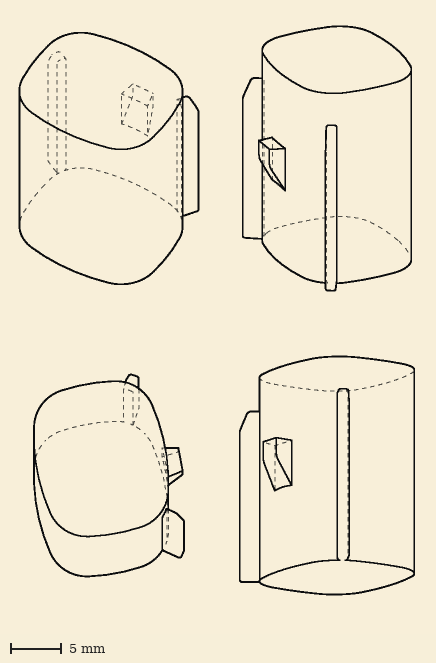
import cadquery as cq
import math

body_height = 20.5
half_depth = 6.406
front_bow_radius = 19.68
front_bow_half_angle = 13.0
corner_radius = 3.94
side_bow_half_angle = 8.0

rib_reach = 5.88
rib_thickness = 1.02
rib_top = 17.05
rib_shoulder = 15.07
rib_slope_run = 0.82
rib_edge_radius = 0.25
rib_shoulder_radius = 1.02
rib_top_radius = 0.57
left_rib_angle = 151.0
right_rib_angle = 55.0

catch_tip_y = 7.944
catch_tip_width = 2.34
catch_base_width = 3.0
catch_base_y = 6.35
catch_tip_top = 12.9
catch_base_top = 12.77
catch_base_bottom = 8.25
catch_tip_bottom = 11.0
catch_nose_radius = 1.65
catch_root_y = 5.12


def polar(center, radius, angle):
    """Point at a distance and an angle in degrees from a center."""
    turn = math.radians(angle)
    return (center[0] + radius * math.cos(turn), center[1] + radius * math.sin(turn))


front_bow_center = (0, half_depth - front_bow_radius)
corner_center = polar(front_bow_center, front_bow_radius - corner_radius, 90 - front_bow_half_angle)
side_bow_inset = corner_center[1] / math.tan(math.radians(side_bow_half_angle))
side_bow_radius = corner_radius + corner_center[1] / math.sin(math.radians(side_bow_half_angle))
half_width = corner_center[0] - side_bow_inset + side_bow_radius


def make_body():
    """Prism with four bowed sides joined by tangent corner arcs."""
    corner_mid_angle = (90 - front_bow_half_angle + side_bow_half_angle) / 2
    front_x, front_y = polar(corner_center, corner_radius, 90 - front_bow_half_angle)
    mid_x, mid_y = polar(corner_center, corner_radius, corner_mid_angle)
    side_x, side_y = polar(corner_center, corner_radius, side_bow_half_angle)
    return (
        cq.Workplane("XY")
        .moveTo(side_x, -side_y)
        .threePointArc((half_width, 0), (side_x, side_y))
        .threePointArc((mid_x, mid_y), (front_x, front_y))
        .threePointArc((0, half_depth), (-front_x, front_y))
        .threePointArc((-mid_x, mid_y), (-side_x, side_y))
        .threePointArc((-half_width, 0), (-side_x, -side_y))
        .threePointArc((-mid_x, -mid_y), (-front_x, -front_y))
        .threePointArc((0, -half_depth), (front_x, -front_y))
        .threePointArc((mid_x, -mid_y), (side_x, -side_y))
        .close()
        .extrude(body_height)
    )


def make_rib(center, angle):
    """Fin running outward from a corner center, sloped at the top, with rounded exposed edges."""
    rib = (
        cq.Workplane("XZ")
        .polyline([
            (0, 0),
            (rib_reach, 0),
            (rib_reach, rib_shoulder),
            (rib_reach - rib_slope_run, rib_top),
            (0, rib_top),
        ])
        .close()
        .extrude(rib_thickness / 2, both=True)
        .edges(cq.selectors.NearestToPointSelector((rib_reach, 0, rib_shoulder)))
        .fillet(rib_shoulder_radius)
        .edges(cq.selectors.NearestToPointSelector((rib_reach - rib_slope_run, 0, rib_top)))
        .fillet(rib_top_radius)
        .edges("not(<X)")
        .fillet(rib_edge_radius)
    )
    return rib.rotate((0, 0, 0), (0, 0, 1), angle).translate((*center, 0))


def make_catch():
    """Side profile of the hook, narrowed toward its tip by a tapered plan."""
    profile = (
        cq.Workplane("YZ")
        .polyline([
            (catch_root_y, catch_base_top),
            (catch_base_y, catch_base_top),
            (catch_tip_y, catch_tip_top),
            (catch_tip_y, catch_tip_bottom),
            (catch_base_y, catch_base_bottom),
            (catch_root_y, catch_base_bottom),
        ])
        .close()
        .extrude(catch_base_width, both=True)
        .edges(cq.selectors.NearestToPointSelector((0, catch_tip_y, catch_tip_bottom)))
        .fillet(catch_nose_radius)
    )
    taper = (catch_base_width - catch_tip_width) / 2 / (catch_tip_y - catch_base_y)
    half_root = catch_base_width / 2 + taper * (catch_base_y - catch_root_y)
    half_tip = catch_tip_width / 2
    plan = (
        cq.Workplane("XY")
        .polyline([
            (-half_root, catch_root_y),
            (half_root, catch_root_y),
            (half_tip, catch_tip_y),
            (-half_tip, catch_tip_y),
        ])
        .close()
        .extrude(body_height)
    )
    return profile.intersect(plan)


left_corner_center = (-corner_center[0], corner_center[1])
result = (
    make_body()
    .union(make_rib(left_corner_center, left_rib_angle))
    .union(make_rib(corner_center, right_rib_angle))
    .union(make_catch())
)